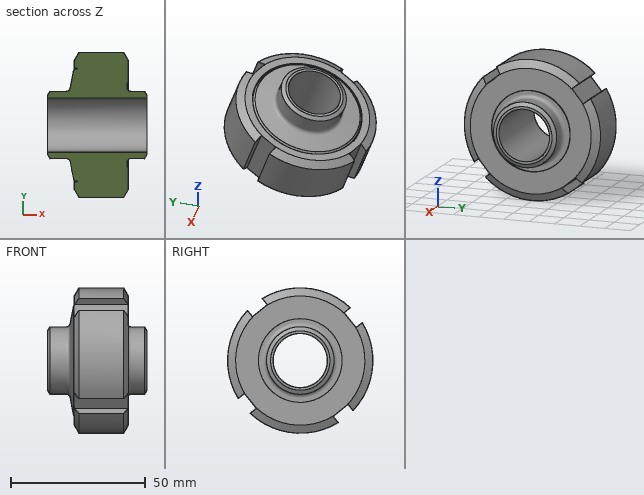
import cadquery as cq
import math

length = 37.0
nut_left = 9.95
nut_right = 30.0
rim_x = 9.65
left_fillet_start = 6.95
right_fillet_end = 31.05

bore_radius = 20.0 / 2
neck_radius = 25.0 / 2
rim_radius = 20.15
nut_opening_radius = 21.0
nut_radius = 26.95
right_opening_radius = 31.0 / 2

neck_chamfer_length = 0.9
neck_chamfer_depth = 1.5
nut_chamfer_length = 1.7
nut_chamfer_depth = 3.0
fillet_radius = 1.5
cone_tilt = math.radians(10.5)
rim_chamfer = 0.65
gap_depth = 1.1

slot_count = 4
slot_width = 7.0
slot_floor = 23.75
first_slot_angle = 39.0
slot_overrun = 0.55


def arc_point(start_x, sweep, direction):
    """Point on a neck fillet, swept away from its tangent point on the neck."""
    x = start_x + direction * fillet_radius * math.sin(sweep)
    radius = neck_radius + fillet_radius * (1 - math.cos(sweep))
    return x, radius


def make_body():
    """Revolve the joined liner, neck and nut profile around X."""
    left_sweep = math.pi / 2 - cone_tilt
    right_sweep = math.pi / 2
    neck_end_radius = neck_radius - neck_chamfer_depth
    nut_face_radius = nut_radius - nut_chamfer_depth
    gap_floor = nut_left + gap_depth
    right_floor = right_fillet_end - fillet_radius
    profile = (
        cq.Workplane("XY")
        .moveTo(0, bore_radius)
        .lineTo(0, neck_end_radius)
        .lineTo(neck_chamfer_length, neck_radius)
        .lineTo(left_fillet_start, neck_radius)
        .threePointArc(
            arc_point(left_fillet_start, left_sweep / 2, 1),
            arc_point(left_fillet_start, left_sweep, 1),
        )
        .lineTo(rim_x, rim_radius)
        .lineTo(rim_x + rim_chamfer, rim_radius + rim_chamfer)
        .lineTo(gap_floor, rim_radius + rim_chamfer)
        .lineTo(gap_floor, nut_opening_radius)
        .lineTo(nut_left, nut_opening_radius)
        .lineTo(nut_left, nut_face_radius)
        .lineTo(nut_left + nut_chamfer_length, nut_radius)
        .lineTo(nut_right - nut_chamfer_length, nut_radius)
        .lineTo(nut_right, nut_face_radius)
        .lineTo(nut_right, right_opening_radius)
        .lineTo(right_floor, right_opening_radius)
        .lineTo(*arc_point(right_fillet_end, right_sweep, -1))
        .threePointArc(
            arc_point(right_fillet_end, right_sweep / 2, -1),
            (right_fillet_end, neck_radius),
        )
        .lineTo(length - neck_chamfer_length, neck_radius)
        .lineTo(length, neck_end_radius)
        .lineTo(length, bore_radius)
        .close()
    )
    return profile.revolve(360, (0, 0, 0), (1, 0, 0))


def make_slot(angle):
    """Flat-floored slot through the full nut width."""
    nut_width = nut_right - nut_left
    height = nut_radius - slot_floor + slot_overrun
    return (
        cq.Workplane("XY")
        .box(nut_width, height, slot_width, centered=(False, False, True))
        .translate((nut_left, slot_floor, 0))
        .rotate((0, 0, 0), (1, 0, 0), angle)
    )


result = make_body()
for index in range(slot_count):
    result = result.cut(make_slot(first_slot_angle + index * 360 / slot_count))
result = result.translate((-length / 2, 0, 0))